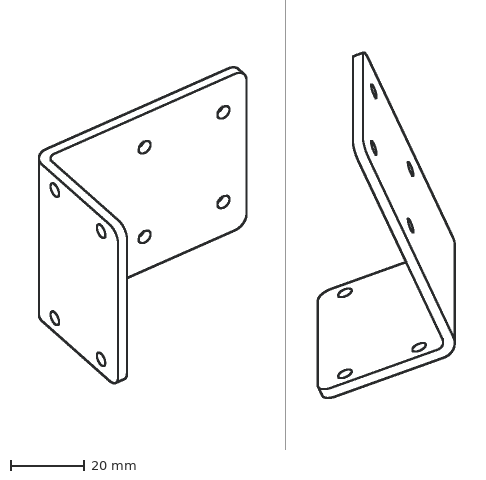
import cadquery as cq

width = 41.0
depth = 70.0
height = 55.0
thickness = 3.0
bend_outer_radius = 5.0
bend_inner_radius = 2.5
corner_radius = 4.0
hole_diameter = 4.0

short_leg_first_hole_x = 11.0
short_leg_spacing_x = 22.0
short_leg_spacing_z = 45.0

long_leg_end_distance = 7.8
long_leg_spacing_y = 26.45
long_leg_spacing_z = 31.5


def bent_sheet():
    """L-shaped sheet with its outer bend edge along Z at the origin."""
    sheet = (
        cq.Workplane("XY")
        .polyline([
            (0, 0),
            (width, 0),
            (width, thickness),
            (thickness, thickness),
            (thickness, depth),
            (0, depth),
        ])
        .close()
        .extrude(height)
    )
    inner_edge = cq.selectors.NearestToPointSelector((thickness, thickness, height / 2))
    sheet = sheet.edges("|Z").edges(inner_edge).fillet(bend_inner_radius)
    outer_edge = cq.selectors.NearestToPointSelector((0, 0, height / 2))
    return sheet.edges("|Z").edges(outer_edge).fillet(bend_outer_radius)


def hole_grid(plane, center, spacing, length):
    """Four cylinders in a rectangle, running both ways from the plane."""
    return (
        cq.Workplane(plane)
        .center(*center)
        .rarray(spacing[0], spacing[1], 2, 2)
        .circle(hole_diameter / 2)
        .extrude(length, both=True)
    )


bracket = bent_sheet()

bracket = bracket.faces(">X").edges("|Y").fillet(corner_radius)
bracket = bracket.faces(">Y").edges("|X").fillet(corner_radius)

cutter_length = 2 * thickness
short_leg_center = (short_leg_first_hole_x + short_leg_spacing_x / 2, height / 2)
long_leg_center = (depth - long_leg_end_distance - long_leg_spacing_y / 2, height / 2)
short_leg_holes = hole_grid(
    "XZ", short_leg_center, (short_leg_spacing_x, short_leg_spacing_z), cutter_length
)
long_leg_holes = hole_grid(
    "YZ", long_leg_center, (long_leg_spacing_y, long_leg_spacing_z), cutter_length
)

result = bracket.cut(short_leg_holes).cut(long_leg_holes)